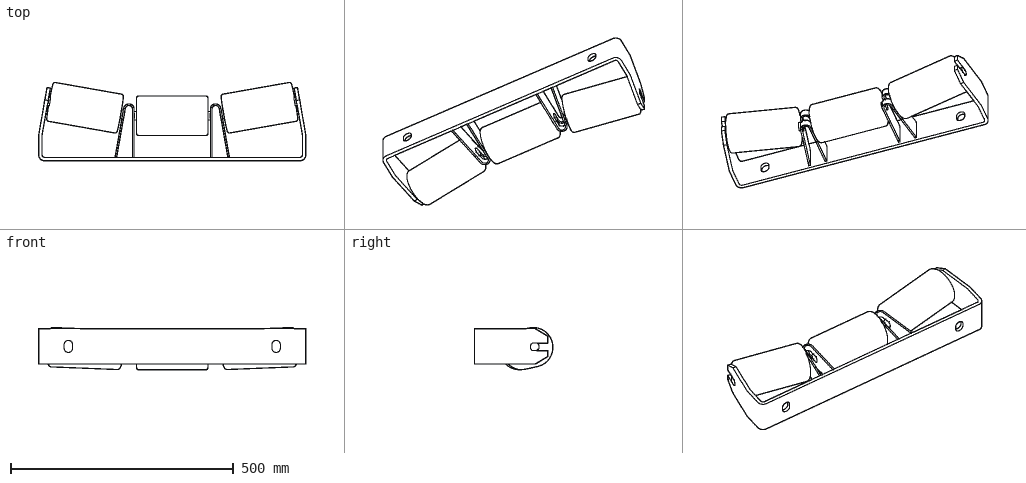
import cadquery as cq
import math

frame_width = 600.0
plate_height = 80.0
frame_thickness = 8.0
bend_inner_radius = 6.0
bend_outer_radius = bend_inner_radius + frame_thickness
knee_y = 57.5
lean_angle = 10.0
arm_length = 109.0
arm_tip_chamfer_length = 28.4
arm_tip_chamfer_drop = 17.0
chamfer_reach = 50.0

mount_slot_width = 19.0
mount_slot_height = 27.0
mount_slot_x = 233.0

hanger_thickness = 4.0
arch_outer_radius = 12.0
hanger_top_y = 128.0
hanger_inner_face_x = 85.3
hanger_height = 50.0

roller_diameter = 89.0
roller_length = 160.5
roller_edge_radius = 5.0
axle_diameter = 20.0
axle_flat_width = 17.0
axle_shoulder_gap = 0.5
slot_overcut = 1.0
middle_roller_y = 101.3
middle_roller_z = -8.1
outer_roller_x = 195.6
outer_roller_y = 119.175
outer_roller_z = -4.75
outer_roller_rise = 2.25

lean = math.radians(lean_angle)
web_inner_y = frame_thickness
half_height = plate_height / 2

middle_face = hanger_inner_face_x
middle_axle_end = middle_face + hanger_thickness
arm_outer_distance = (
    (frame_width / 2 - outer_roller_x) * math.cos(lean) - (outer_roller_y - knee_y) * math.sin(lean)
)
arm_face = arm_outer_distance - frame_thickness
arch_x = hanger_inner_face_x + arch_outer_radius
arch_y = hanger_top_y - arch_outer_radius
hanger_face = (
    (outer_roller_x - arch_x) * math.cos(lean)
    + (outer_roller_y - arch_y) * math.sin(lean)
    - arch_outer_radius
)
hanger_axle_end = hanger_face + hanger_thickness


def place_on_left_axis(body):
    """Move a body built along X at the origin onto the left outer roller axis."""
    body = body.rotate((0, 0, 0), (0, 1, 0), outer_roller_rise)
    body = body.rotate((0, 0, 0), (0, 0, 1), -lean_angle)
    return body.translate((-outer_roller_x, outer_roller_y, outer_roller_z))


def place_on_middle_axis(body):
    return body.translate((0, middle_roller_y, middle_roller_z))


def axle_slot(start_x, end_x):
    """Cutter open toward +Y whose closed end fits the flattened axle."""
    length = end_x - start_x
    open_length = frame_width / 2
    axle = cq.Workplane("YZ", origin=(start_x, 0, 0)).circle(axle_diameter / 2).extrude(length)
    flats = cq.Workplane("XY").box(length, axle_diameter, axle_flat_width)
    flats = flats.translate((start_x + length / 2, 0, 0))
    opening = cq.Workplane("XY").box(length, open_length, axle_flat_width)
    opening = opening.translate((start_x + length / 2, open_length / 2, 0))
    return axle.intersect(flats).union(opening)


def arm_tip_chamfers():
    """Two wedges, running along X, that taper an arm toward its tip at Y = 0."""
    chamfer_start_y = -arm_tip_chamfer_length
    chamfer_end_z = half_height - arm_tip_chamfer_drop
    wedge = (
        cq.Workplane("YZ")
        .polyline([(chamfer_start_y, half_height), (0, half_height), (0, chamfer_end_z)])
        .close()
        .extrude(chamfer_reach, both=True)
    )
    return wedge.union(wedge.mirror("XY"))


def make_frame():
    half_width = frame_width / 2
    inner_x = half_width - frame_thickness
    inner_knee_y = knee_y - frame_thickness * math.tan(lean / 2)
    tip_x = half_width - arm_length * math.sin(lean)
    tip_y = knee_y + arm_length * math.cos(lean)
    tip_inner_x = tip_x - frame_thickness * math.cos(lean)
    tip_inner_y = tip_y - frame_thickness * math.sin(lean)
    right_side = [
        (half_width, 0),
        (half_width, knee_y),
        (tip_x, tip_y),
        (tip_inner_x, tip_inner_y),
        (inner_x, inner_knee_y),
        (inner_x, web_inner_y),
    ]
    left_side = [(-x, y) for x, y in reversed(right_side)]
    frame = cq.Workplane("XY").polyline(right_side + left_side).close().extrude(half_height, both=True)

    for x in (-half_width, half_width):
        for y in (0, knee_y):
            frame = frame.edges(cq.NearestToPointSelector((x, y, 0))).fillet(bend_outer_radius)
    for x in (-inner_x, inner_x):
        for y in (web_inner_y, inner_knee_y):
            frame = frame.edges(cq.NearestToPointSelector((x, y, 0))).fillet(bend_inner_radius)

    right_chamfers = arm_tip_chamfers().rotate((0, 0, 0), (0, 0, 1), lean_angle)
    right_chamfers = right_chamfers.translate((tip_x, tip_y, 0))
    frame = frame.cut(right_chamfers).cut(right_chamfers.mirror("YZ"))

    mount_slots = (
        cq.Workplane("XZ")
        .pushPoints([(-mount_slot_x, 0), (mount_slot_x, 0)])
        .slot2D(mount_slot_height, mount_slot_width, 90)
        .extrude(-web_inner_y)
    )
    arm_slot = axle_slot(-arm_outer_distance - slot_overcut, -arm_face + slot_overcut)
    arm_slot = place_on_left_axis(arm_slot)
    return frame.cut(mount_slots).cut(arm_slot).cut(arm_slot.mirror("YZ"))


def make_left_hanger():
    inner_radius = arch_outer_radius - hanger_thickness

    def arch_point(radius, angle):
        return (-arch_x + radius * math.cos(angle), arch_y + radius * math.sin(angle))

    def leaning_foot(radius):
        x, y = arch_point(radius, math.pi - lean)
        return (x - (y - web_inner_y) * math.tan(lean), web_inner_y)

    mid_arch = (math.pi - lean) / 2
    hanger = (
        cq.Workplane("XY")
        .moveTo(-arch_x + arch_outer_radius, web_inner_y)
        .lineTo(*arch_point(arch_outer_radius, 0))
        .threePointArc(
            arch_point(arch_outer_radius, mid_arch), arch_point(arch_outer_radius, math.pi - lean)
        )
        .lineTo(*leaning_foot(arch_outer_radius))
        .lineTo(*leaning_foot(inner_radius))
        .lineTo(*arch_point(inner_radius, math.pi - lean))
        .threePointArc(arch_point(inner_radius, mid_arch), arch_point(inner_radius, 0))
        .lineTo(-arch_x + inner_radius, web_inner_y)
        .close()
        .extrude(hanger_height)
        .translate((0, 0, middle_roller_z - hanger_height / 2))
    )
    straight_slot = axle_slot(-arch_x, -middle_face + slot_overcut)
    leaning_slot = axle_slot(hanger_face - slot_overcut, hanger_face + arch_outer_radius)
    return hanger.cut(place_on_middle_axis(straight_slot)).cut(place_on_left_axis(leaning_slot))


def make_roller(left_face, left_end, right_face, right_end):
    """Roller along X, with its axle flattened at each end where it sits in a slot."""
    shell = (
        cq.Workplane("YZ", origin=(-roller_length / 2, 0, 0))
        .circle(roller_diameter / 2)
        .extrude(roller_length)
        .faces("<X or >X")
        .edges()
        .fillet(roller_edge_radius)
    )
    axle_length = right_end + left_end
    axle = cq.Workplane("YZ", origin=(-left_end, 0, 0)).circle(axle_diameter / 2).extrude(axle_length)
    roller = shell.union(axle)
    flat_depth = (axle_diameter - axle_flat_width) / 2
    flat_ranges = (
        (-left_end, -left_face + axle_shoulder_gap),
        (right_face - axle_shoulder_gap, right_end),
    )
    for start_x, end_x in flat_ranges:
        for side in (-1, 1):
            flat = cq.Workplane("XY").box(end_x - start_x, axle_diameter, flat_depth)
            flat_z = side * (axle_diameter - flat_depth) / 2
            roller = roller.cut(flat.translate(((start_x + end_x) / 2, 0, flat_z)))
    return roller


frame = make_frame()
left_hanger = make_left_hanger()
right_hanger = left_hanger.mirror("YZ")
middle_roller = place_on_middle_axis(
    make_roller(middle_face, middle_axle_end, middle_face, middle_axle_end)
)
left_roller = place_on_left_axis(make_roller(arm_face, arm_outer_distance, hanger_face, hanger_axle_end))
right_roller = left_roller.mirror("YZ")

bodies = [frame, left_hanger, right_hanger, middle_roller, left_roller, right_roller]
result = cq.Compound.makeCompound([body.val() for body in bodies])